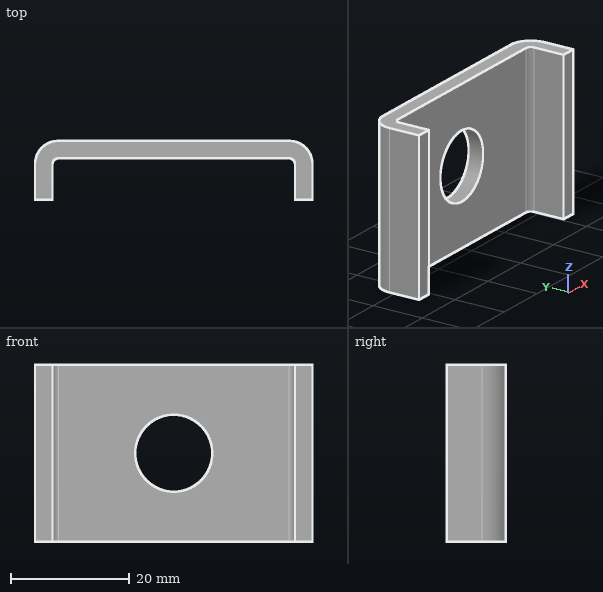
import cadquery as cq

width = 47.0
depth = 10.0
height = 30.0

sheet_thickness = 3.0
inner_bend_radius = 1.0
outer_bend_radius = inner_bend_radius + sheet_thickness

hole_diameter = 13.0


def make_channel():
    """U-shaped channel extruded along Z: web on the +Y side, flanges pointing to -Y."""
    outer = (
        cq.Workplane("XY")
        .box(width, depth, height)
        .edges("|Z and >Y")
        .fillet(outer_bend_radius)
    )
    inner = (
        cq.Workplane("XY")
        .box(width - 2 * sheet_thickness, depth, height)
        .edges("|Z and >Y")
        .fillet(inner_bend_radius)
        .translate((0, -sheet_thickness, 0))
    )
    return outer.cut(inner)


def make_hole_cutter():
    """Cylinder along Y through the centre of the web."""
    return cq.Workplane("XZ").circle(hole_diameter / 2).extrude(depth, both=True)


result = make_channel().cut(make_hole_cutter())